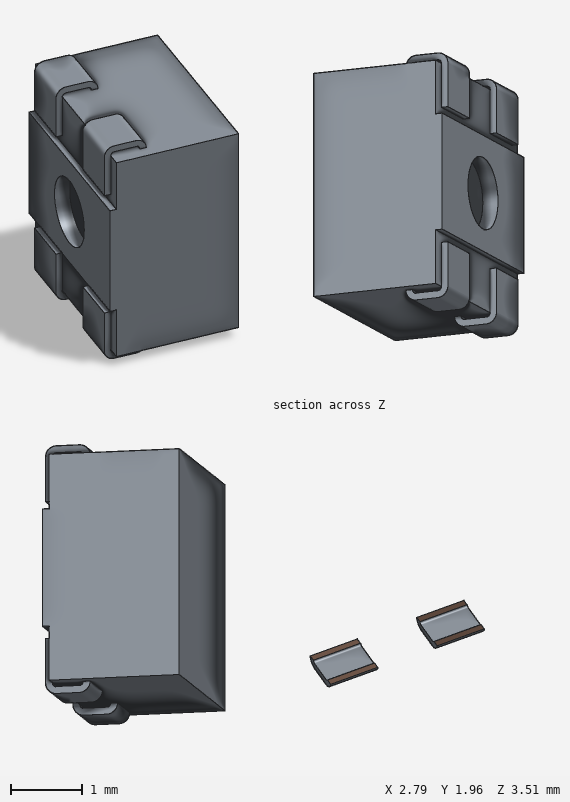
import cadquery as cq

width = 2.79
depth = 1.96
height = 3.51

lead_width = 0.74
lead_pitch = 1.665
lead_reach = 0.64
foot_length = 0.632
bend_radius = 0.155
sheet_thickness = 0.1

housing_height = height - 2 * bend_radius
band_height = 1.665
band_projection = sheet_thickness
hole_diameter = 1.025
hole_depth = 0.23

front_y = -depth / 2
block_front_y = front_y + band_projection
block_depth = depth - band_projection
block_top_z = housing_height / 2


def make_housing():
    """Block with a front band and a blind round hole in the band."""
    block = cq.Workplane("XY").box(width, block_depth, housing_height)
    block = block.translate((0, block_front_y + block_depth / 2, 0))
    band = cq.Workplane("XY").box(width, band_projection, band_height)
    band = band.translate((0, front_y + band_projection / 2, 0))
    hole = (
        cq.Workplane("XZ", origin=(0, front_y, 0))
        .circle(hole_diameter / 2)
        .extrude(-hole_depth)
    )
    return block.union(band).cut(hole)


def make_top_lead(center_x):
    """Hook-shaped strip: a foot on the front face, bent back over the top edge to rest on the block."""
    inner_radius = bend_radius - sheet_thickness
    foot_bottom_z = block_top_z - foot_length
    foot_back_y = front_y + sheet_thickness
    tail_end_y = front_y + lead_reach
    tail_front_y = tail_end_y - sheet_thickness
    bend_start_y = front_y + bend_radius
    bend_end_y = tail_end_y - bend_radius
    outer_top_z = block_top_z + bend_radius
    inner_top_z = block_top_z + inner_radius
    return (
        cq.Workplane("YZ", origin=(center_x - lead_width / 2, 0, 0))
        .moveTo(front_y, foot_bottom_z)
        .lineTo(front_y, block_top_z)
        .radiusArc((bend_start_y, outer_top_z), bend_radius)
        .lineTo(bend_end_y, outer_top_z)
        .radiusArc((tail_end_y, block_top_z), bend_radius)
        .lineTo(tail_front_y, block_top_z)
        .radiusArc((bend_end_y, inner_top_z), -inner_radius)
        .lineTo(bend_start_y, inner_top_z)
        .radiusArc((foot_back_y, block_top_z), -inner_radius)
        .lineTo(foot_back_y, foot_bottom_z)
        .close()
        .extrude(lead_width)
    )


housing = make_housing()

leads = []
for side in (-1, 1):
    top_lead = make_top_lead(side * lead_pitch / 2)
    bottom_lead = top_lead.mirror("XY")
    leads.append(top_lead.val())
    leads.append(bottom_lead.val())

result = cq.Compound.makeCompound([housing.val(), *leads])